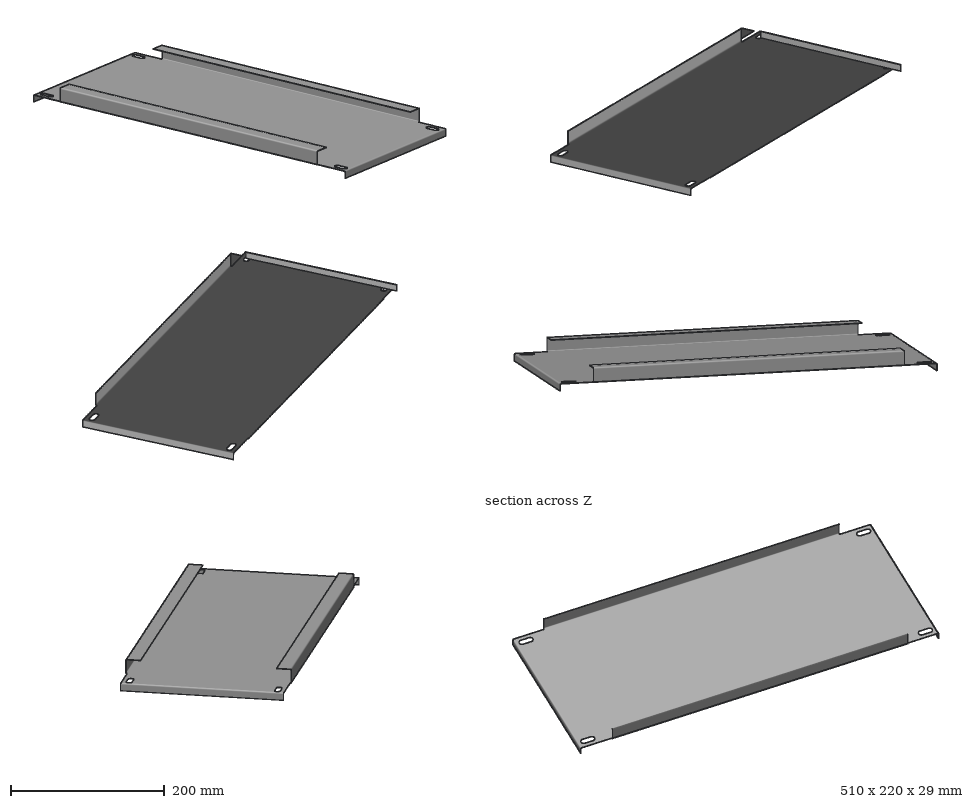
import cadquery as cq

length = 510.0
width = 220.0
height = 29.0
sheet = 1.0

flange_length = 420.0
flange_height = 20.0
lip_width = 20.0
flange_bend = 2.0

end_bend = 2.0

slot_length = 19.5
slot_width = 7.5
slot_end_inset = 15.0
slot_side_inset = 9.5

plate_width = width - 2 * flange_bend
plate_bottom = height - flange_height
plate_top = plate_bottom + sheet


def base_tray():
    """Flat plate with its two short edges folded down."""
    outer = (
        cq.Workplane("XY")
        .box(length, plate_width, plate_top, centered=(True, True, False))
        .edges("|Y and >Z")
        .fillet(end_bend)
    )
    cavity = (
        cq.Workplane("XY")
        .box(length - 2 * sheet, plate_width, plate_bottom, centered=(True, True, False))
        .edges("|Y and >Z")
        .fillet(end_bend - sheet)
    )
    return outer.cut(cavity)


def lipped_channel():
    """Floor, upright flanges and inward lips as one bent channel."""
    inner_width = width - 2 * sheet
    outer = (
        cq.Workplane("XY", origin=(0, 0, plate_bottom))
        .box(flange_length, width, flange_height, centered=(True, True, False))
        .edges("|X")
        .fillet(flange_bend)
    )
    cavity = (
        cq.Workplane("XY", origin=(0, 0, plate_top))
        .box(flange_length, inner_width, flange_height - 2 * sheet, centered=(True, True, False))
        .edges("|X")
        .fillet(flange_bend - sheet)
    )
    lip_gap = cq.Workplane("XY", origin=(0, 0, plate_top)).box(
        flange_length, width - 2 * lip_width, flange_height, centered=(True, True, False)
    )
    return outer.cut(cavity).cut(lip_gap)


def corner_slots():
    """Cutters for the four mounting slots, one near each plate corner."""
    slot_spacing_x = length - 2 * slot_end_inset
    slot_spacing_y = plate_width - 2 * slot_side_inset
    return (
        cq.Workplane("XY")
        .rarray(slot_spacing_x, slot_spacing_y, 2, 2)
        .slot2D(slot_length, slot_width)
        .extrude(height)
    )


result = base_tray().union(lipped_channel()).cut(corner_slots())